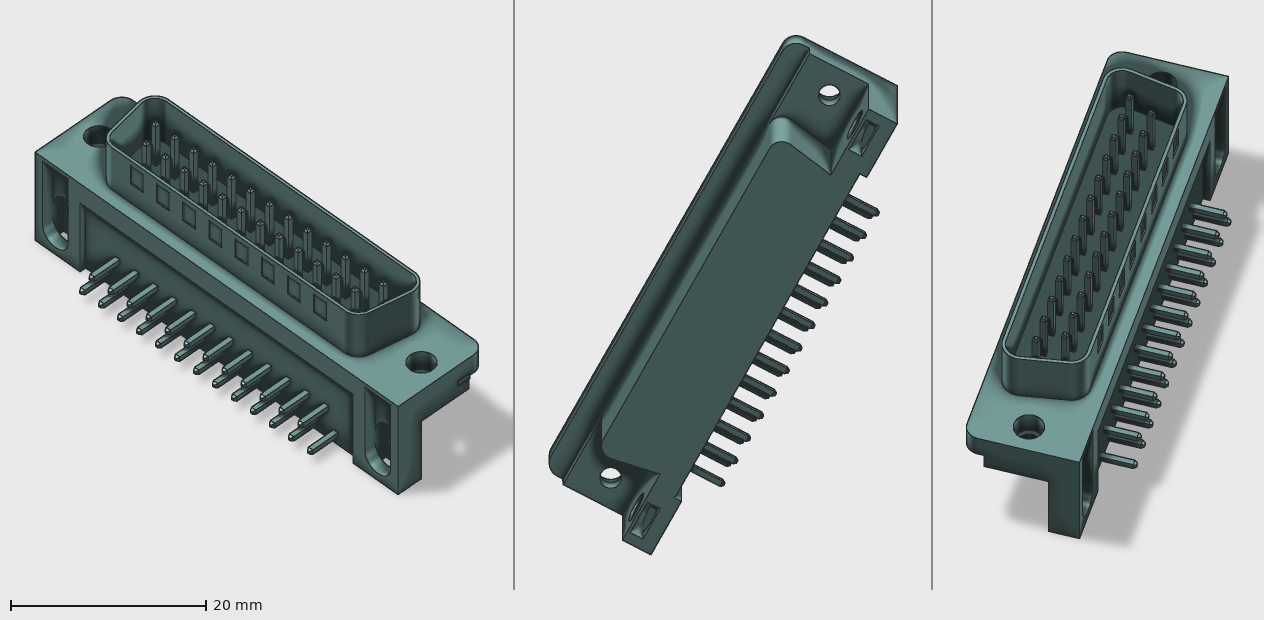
import cadquery as cq
import math


HOUSING_WIDTH = 52.95
FLANGE_DEPTH = 12.5
FLANGE_BOTTOM = 9.95
FLANGE_TOP = 12.5
FLANGE_CORNER_RADIUS = 1.6
BLOCK_DEPTH = 10.25
BLOCK_BOTTOM = 8.15
LEG_DEPTH = 3.35

SHELL_WIDTH = 39.8
SHELL_FRONT = 1.7
SHELL_BACK = 10.8
SHELL_TOP = 18.5
SHELL_WALL = 0.35
SHELL_CORNER_RADIUS = 2.0
SHELL_SLANT = math.radians(10)
LOWER_BODY_INSET = SHELL_BACK - BLOCK_DEPTH

DENT_COUNT = 8
DENT_PITCH = 3.8
DENT_WIDTH = 1.85
DENT_BOTTOM = 15.2
DENT_HEIGHT = 2.55
DENT_DEPTH = 0.15

PANEL_TOP = 9.75
PANEL_DEPTH = 0.8

MOUNT_X = 23.5
MOUNT_Y = 6.3
MOUNT_DIAMETER = 2.25
MOUNT_BORE_DIAMETER = 3.2
MOUNT_BORE_DEPTH = FLANGE_TOP - FLANGE_BOTTOM

CLIP_RADIUS = 1.85
CLIP_BOTTOM_Z = 2.85
CLIP_ARCH_Z = 4.95
CLIP_TOP = 12.0
CLIP_POCKET_DEPTH = 1.55
CLIP_DEEP_DEPTH = 3.0
CLIP_HOLE_DIAMETER = 3.25

PIN_SIZE = 0.65
PIN_TIP_LENGTH = 0.3
PIN_TIP_SIZE = 0.3
LONG_ROW = 13
SHORT_ROW = 12
LONG_ROW_SPAN = 33.2
PIN_PITCH = LONG_ROW_SPAN / (LONG_ROW - 1)
SOLDER_LONG_ROW_Z = 1.45
SOLDER_SHORT_ROW_Z = 4.3
SOLDER_REACH = 3.2
CONTACT_LONG_ROW_Y = 7.65
CONTACT_SHORT_ROW_Y = 4.95
CONTACT_TOP = 18.4
PIN_ROOT = 0.55

MARK_HEIGHT = 0.1
MARK_FRONT = 8.6
MARK_LENGTH = 1.65
MARK_BOTTOM = 9.65
MARK_TOP = 10.4


def box(x0, x1, y0, y1, z0, z1):
    return cq.Workplane("XY").box(x1 - x0, y1 - y0, z1 - z0, centered=False).translate((x0, y0, z0))


def d_prism(inset, bottom, top):
    """D outline, moved inward by inset, standing from bottom to top."""
    radius = SHELL_CORNER_RADIUS - inset
    front = SHELL_FRONT + inset
    back = SHELL_BACK - inset
    arc_center_x = SHELL_WIDTH / 2 - SHELL_CORNER_RADIUS
    back_half = arc_center_x + radius * (1 + math.sin(SHELL_SLANT)) / math.cos(SHELL_SLANT)
    front_half = back_half - (back - front) * math.tan(SHELL_SLANT)
    outline = [(-front_half, front), (front_half, front), (back_half, back), (-back_half, back)]
    return (
        cq.Workplane("XY", origin=(0, 0, bottom))
        .polyline(outline)
        .close()
        .extrude(top - bottom)
        .edges("|Z")
        .fillet(radius)
    )


def row_positions(count, pitch):
    return [(i - (count - 1) / 2) * pitch for i in range(count)]


def make_housing():
    half = HOUSING_WIDTH / 2
    flange = box(-half, half, 0, FLANGE_DEPTH, FLANGE_BOTTOM, FLANGE_TOP)
    flange = flange.edges("|Z and >Y").fillet(FLANGE_CORNER_RADIUS)
    block = box(-half, half, 0, BLOCK_DEPTH, BLOCK_BOTTOM, FLANGE_BOTTOM)
    legs = box(-half, half, 0, LEG_DEPTH, 0, BLOCK_BOTTOM)
    lower_body = d_prism(LOWER_BODY_INSET, 0, BLOCK_BOTTOM)
    panel = box(-SHELL_WIDTH / 2, SHELL_WIDTH / 2, 0, PANEL_DEPTH, 0, PANEL_TOP)
    mark = box(half, half + MARK_HEIGHT, MARK_FRONT, MARK_FRONT + MARK_LENGTH, MARK_BOTTOM, MARK_TOP)
    return flange.union(block).union(legs).union(lower_body).cut(panel).union(mark)


def make_shell():
    shell = d_prism(0, FLANGE_TOP, SHELL_TOP).cut(d_prism(SHELL_WALL, FLANGE_TOP, SHELL_TOP))
    for x in row_positions(DENT_COUNT, DENT_PITCH):
        dent = box(
            x - DENT_WIDTH / 2,
            x + DENT_WIDTH / 2,
            SHELL_FRONT,
            SHELL_FRONT + DENT_DEPTH,
            DENT_BOTTOM,
            DENT_BOTTOM + DENT_HEIGHT,
        )
        shell = shell.cut(dent)
    return shell


def make_clip_pocket(x):
    """Straight pocket, rounded at the bottom, a deeper arched slot behind it that is
    open at the underside, and a hole through the thin wall left at the back."""

    def front_cylinder(z, radius, depth):
        return cq.Workplane("XZ", origin=(x, 0, z)).circle(radius).extrude(-depth)

    left = x - CLIP_RADIUS
    right = x + CLIP_RADIUS
    pocket = box(left, right, 0, CLIP_POCKET_DEPTH, CLIP_BOTTOM_Z, CLIP_TOP)
    pocket = pocket.union(front_cylinder(CLIP_BOTTOM_Z, CLIP_RADIUS, CLIP_POCKET_DEPTH))
    deep_slot = box(left, right, CLIP_POCKET_DEPTH, CLIP_DEEP_DEPTH, 0, CLIP_ARCH_Z)
    deep_slot = deep_slot.union(front_cylinder(CLIP_ARCH_Z, CLIP_RADIUS, CLIP_DEEP_DEPTH))
    hole = front_cylinder(CLIP_BOTTOM_Z, CLIP_HOLE_DIAMETER / 2, LEG_DEPTH)
    return pocket.union(deep_slot).union(hole)


def make_pin(plane, origin, length):
    """Square pin with a tapered tip, growing along the plane normal from origin."""
    shank_length = length - PIN_TIP_LENGTH
    base = cq.Workplane(plane, origin=origin)
    shank = base.rect(PIN_SIZE, PIN_SIZE).extrude(shank_length)
    tip = (
        base.workplane(offset=shank_length)
        .rect(PIN_SIZE, PIN_SIZE)
        .workplane(offset=PIN_TIP_LENGTH)
        .rect(PIN_TIP_SIZE, PIN_TIP_SIZE)
        .loft()
    )
    return shank.union(tip)


def make_pins():
    """Contact pins inside the shell (+Z) and solder pins out of the front (-Y)."""
    rows = [
        (LONG_ROW, CONTACT_LONG_ROW_Y, SOLDER_LONG_ROW_Z),
        (SHORT_ROW, CONTACT_SHORT_ROW_Y, SOLDER_SHORT_ROW_Z),
    ]
    contact_root = FLANGE_TOP - PIN_ROOT
    solder_root = PANEL_DEPTH + PIN_ROOT
    pins = []
    for count, contact_y, solder_z in rows:
        for x in row_positions(count, PIN_PITCH):
            pins.append(make_pin("XY", (x, contact_y, contact_root), CONTACT_TOP - contact_root))
            pins.append(make_pin("XZ", (x, solder_root, solder_z), SOLDER_REACH + solder_root))
    return pins


result = make_housing().union(make_shell())

for side_x in (-MOUNT_X, MOUNT_X):
    result = result.cut(make_clip_pocket(side_x))

result = (
    result.copyWorkplane(cq.Workplane("XY", origin=(0, 0, FLANGE_TOP)))
    .pushPoints([(-MOUNT_X, MOUNT_Y), (MOUNT_X, MOUNT_Y)])
    .cboreHole(MOUNT_DIAMETER, MOUNT_BORE_DIAMETER, MOUNT_BORE_DEPTH, FLANGE_TOP - BLOCK_BOTTOM)
)

for pin in make_pins():
    result = result.union(pin)